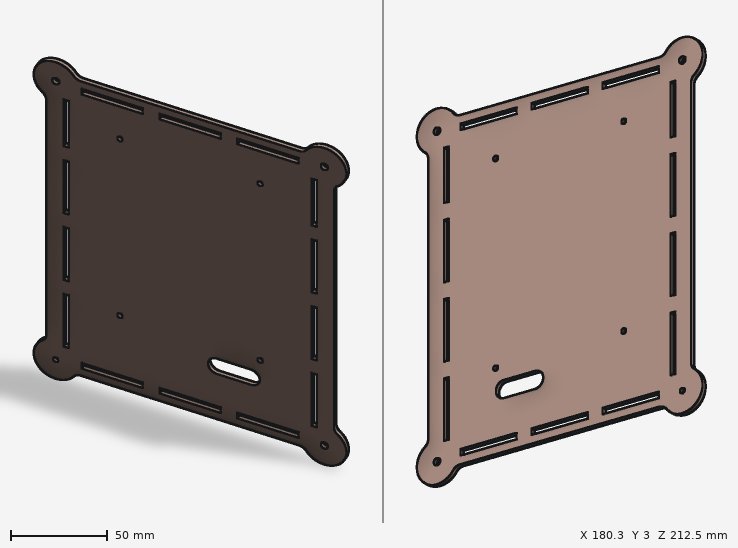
import cadquery as cq

width = 180.3
height = 212.5
thickness = 3.0
lobe_radius = 12.8
plate_width = 165.8
plate_height = 197.7
lobe_x = width / 2 - lobe_radius
lobe_z = height / 2 - lobe_radius
lobe_blend_radius = 5.0

corner_hole_diameter = 4.0
small_hole_diameter = 3.0
mount_x = 40.4
mount_top_z = 68.5
mount_bottom_z = -50.2

slot_length = 35.3
slot_pitch = 44.9
row_slot_width = 3.6
row_z = 92.0
column_slot_width = 3.0
column_x = 71.5
column_end_z = 83.0
short_slot_length = 31.3

opening_length = 29.8
opening_width = 10.2
opening_x = 25.3
opening_z = -63.4


def box_at(x, z, size_x, size_z):
    return cq.Workplane("XY").box(size_x, thickness, size_z).translate((x, 0, z))


def cylinders_at(points, diameter):
    return (
        cq.Workplane("XZ", origin=(0, thickness / 2, 0))
        .pushPoints(points)
        .circle(diameter / 2)
        .extrude(thickness)
    )


def make_plate():
    """Rectangle with a round lobe at each corner, blended into the straight edges."""
    lobe_centers = [(x, z) for x in (-lobe_x, lobe_x) for z in (-lobe_z, lobe_z)]
    plate = box_at(0, 0, plate_width, plate_height)
    for center in lobe_centers:
        plate = plate.union(cylinders_at([center], 2 * lobe_radius))
    return plate.edges("|Y").fillet(lobe_blend_radius)


def cut_round_holes(plate):
    """Three larger corner holes, one small corner hole and four small mounting holes."""
    large_holes = [(-lobe_x, lobe_z), (lobe_x, lobe_z), (lobe_x, -lobe_z)]
    small_holes = [(x, z) for x in (-mount_x, mount_x) for z in (mount_bottom_z, mount_top_z)]
    small_holes.append((-lobe_x, -lobe_z))
    plate = plate.cut(cylinders_at(large_holes, corner_hole_diameter))
    return plate.cut(cylinders_at(small_holes, small_hole_diameter))


def cut_slot_rows(plate):
    """Three slots along the top and bottom edges."""
    for z in (-row_z, row_z):
        for x in (-slot_pitch, 0, slot_pitch):
            plate = plate.cut(box_at(x, z, slot_length, row_slot_width))
    return plate


def cut_slot_columns(plate):
    """Three full slots and a shorter top one along each side edge."""
    first_z = -column_end_z + slot_length / 2
    short_z = column_end_z - short_slot_length / 2
    for x in (-column_x, column_x):
        for index in range(3):
            z = first_z + index * slot_pitch
            plate = plate.cut(box_at(x, z, column_slot_width, slot_length))
        plate = plate.cut(box_at(x, short_z, column_slot_width, short_slot_length))
    return plate


def cut_opening(plate):
    """Opening with fully round ends."""
    opening = (
        cq.Workplane("XZ", origin=(0, thickness / 2, 0))
        .center(opening_x, opening_z)
        .slot2D(opening_length, opening_width)
        .extrude(thickness)
    )
    return plate.cut(opening)


result = make_plate()
result = cut_round_holes(result)
result = cut_slot_rows(result)
result = cut_slot_columns(result)
result = cut_opening(result)